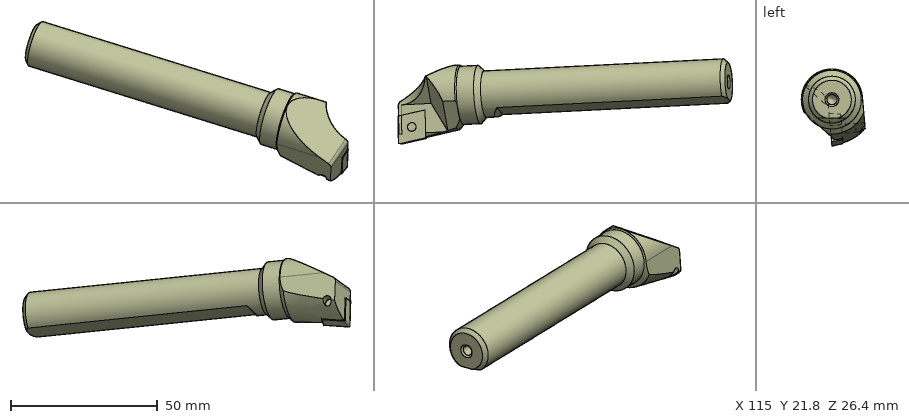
import cadquery as cq
import math

shank_diameter = 16.0
shank_chamfer = 1.4
flat_height = 6.2
flat_end = 81.4
hole_diameter = 3.5
hole_mouth_diameter = 4.7
hole_depth = 10.0
collar_diameter = 20.0
collar_start = 84.8
collar_end = 92.8
head_diameter = 20.9
head_flare_radius = 11.7
head_cone_angle = 10
tool_length = 115
back_tilt = 5
top_slope = 30
top_tilt = 3
top_start = 93.4
end_skew = 8
end_offset = 114.7
end_rounding = 2.0
gullet_radius = 10.4
gullet_center = 113.7
flank_angle = 42
flank_distance = 9.5
flank_runout_start = 97.6
flank_runout_angle = 50
insert_side = 9.7
insert_angle = 80
insert_thickness = 3.9
insert_clearance = 7
insert_nose = 0.5
tip_depth = 16.0
screw_diameter = 3.0
screw_length = 8.6

shank_radius = shank_diameter / 2
collar_radius = collar_diameter / 2
head_radius = head_diameter / 2
collar_full = collar_start + collar_radius - shank_radius
flare_end = collar_end + head_flare_radius - collar_radius
far = 3 * head_diameter

tilt = math.radians(back_tilt)
cutting_face = cq.Plane(
    origin=(tool_length, 0, -tip_depth),
    xDir=(1, 0, 0),
    normal=(0, -math.cos(tilt), math.sin(tilt)),
)


def polar(radius, degrees):
    """Point in the YZ plane at an angle measured from +Y towards +Z."""
    angle = math.radians(degrees)
    return (radius * math.cos(angle), radius * math.sin(angle))


def make_shank():
    """Turned shank with a shoulder and collar, a clamping flat and a centre hole."""
    profile = [
        (0, 0),
        (0, shank_radius - shank_chamfer),
        (shank_chamfer, shank_radius),
        (collar_start, shank_radius),
        (collar_full, collar_radius),
        (collar_end, collar_radius),
        (collar_end, 0),
    ]
    shank = cq.Workplane("XZ").polyline(profile).close().revolve(360, (0, 0, 0), (1, 0, 0))

    flat_drop = shank_radius - flat_height
    flat_cut = (
        cq.Workplane("XZ")
        .polyline([
            (0, -flat_height),
            (flat_end - flat_drop, -flat_height),
            (flat_end, -shank_radius),
            (0, -shank_radius),
        ])
        .close()
        .extrude(shank_radius, both=True)
    )

    mouth = hole_mouth_diameter / 2
    bore = hole_diameter / 2
    hole_profile = [
        (0, 0),
        (0, mouth),
        (mouth - bore, bore),
        (hole_depth, bore),
        (hole_depth + bore, 0),
    ]
    hole = cq.Workplane("XZ").polyline(hole_profile).close().revolve(360, (0, 0, 0), (1, 0, 0))
    return shank.cut(flat_cut).cut(hole)


def head_blank():
    """Flared cone trimmed to the head's cross-section: round top, back flat, underside flat."""
    end_radius = head_flare_radius + (tool_length - flare_end) * math.tan(math.radians(head_cone_angle))
    cone = (
        cq.Workplane("XY")
        .polyline([
            (collar_end, 0),
            (collar_end, collar_radius),
            (flare_end, head_flare_radius),
            (tool_length, end_radius),
            (tool_length, 0),
        ])
        .close()
        .revolve(360, (0, 0, 0), (1, 0, 0))
    )
    half_chord = math.degrees(math.acos(flank_distance / head_radius))
    flank_upper = polar(head_radius, flank_angle - 90 + half_chord)
    flank_lower = (
        flank_upper[0] - far * math.cos(math.radians(flank_angle)),
        flank_upper[1] - far * math.sin(math.radians(flank_angle)),
    )
    back_upper = polar(head_radius, 180 - back_tilt)
    back_lower = (back_upper[0] - far * math.sin(tilt), back_upper[1] - far * math.cos(tilt))
    section = (
        cq.Workplane("YZ", origin=(collar_end, 0, 0))
        .moveTo(*flank_upper)
        .threePointArc(polar(head_radius, 90), back_upper)
        .lineTo(*back_lower)
        .lineTo(*flank_lower)
        .close()
        .extrude(tool_length - collar_end)
    )
    return cone.intersect(section)


def top_cut():
    """Block above the sloping top face."""
    return (
        cq.Workplane("XY")
        .box(2 * far, 2 * far, far, centered=(True, True, False))
        .rotate((0, 0, 0), (1, 0, 0), top_tilt)
        .rotate((0, 0, 0), (0, 1, 0), top_slope)
        .translate((top_start, 0, head_radius))
    )


def end_cut():
    """Block beyond the skewed end face."""
    return (
        cq.Workplane("XY")
        .box(far, 2 * far, 2 * far, centered=(False, True, True))
        .rotate((0, 0, 0), (0, 0, 1), -end_skew)
        .translate((end_offset, 0, 0))
    )


def gullet_cut():
    """Space in front of the cutting face: a round-backed gullet and a sloping run-out."""
    face_space = cq.Workplane(cutting_face).rect(4 * far, 4 * far).extrude(-far)
    gullet_plane = cq.Plane(
        origin=(gullet_center, 0, -tip_depth),
        xDir=(1, 0, 0),
        normal=(0, math.sin(tilt), math.cos(tilt)),
    )
    round_back = (
        cq.Workplane(gullet_plane)
        .center(0, gullet_radius)
        .circle(gullet_radius)
        .extrude(far, both=True)
    )
    slope = math.radians(flank_angle)
    runout_plane = cq.Plane(
        origin=(0, 0, 0),
        xDir=(1, 0, 0),
        normal=(0, math.cos(slope), math.sin(slope)),
    )
    runout_end = gullet_center - gullet_radius
    runout_drop = (runout_end - flank_runout_start) * math.tan(math.radians(flank_runout_angle))
    runout = (
        cq.Workplane(runout_plane)
        .polyline([
            (flank_runout_start, flank_distance),
            (runout_end, flank_distance - runout_drop),
            (gullet_center, flank_distance - runout_drop),
            (gullet_center, far),
            (flank_runout_start, far),
        ])
        .close()
        .extrude(far, both=True)
    )
    return round_back.union(runout).intersect(face_space)


def make_head():
    """Head blank with its sloping top, skewed end, the rounded edge between them, and the gullet."""
    head = head_blank().cut(top_cut()).cut(end_cut())
    edge_height = head_radius - (end_offset - top_start) * math.tan(math.radians(top_slope))
    top_end_edge = cq.selectors.NearestToPointSelector((end_offset, 0, edge_height))
    return head.edges(top_end_edge).fillet(end_rounding).cut(gullet_cut())


def make_insert_blank():
    """Rhombic cutting insert, tapering away from its cutting face."""
    lean = math.radians(insert_angle)
    run = insert_side * math.sin(lean)
    rise = insert_side * math.cos(lean)
    mid_depth = insert_thickness / 2
    cutting_tip = cq.selectors.NearestToPointSelector(cutting_face.toWorldCoords((0, 0, mid_depth)).toTuple())
    return (
        cq.Workplane(cutting_face)
        .polyline([(0, 0), (0, insert_side), (-run, insert_side + rise), (-run, rise)])
        .close()
        .extrude(insert_thickness, taper=insert_clearance)
        .edges(cutting_tip)
        .fillet(insert_nose)
    )


def screw_rod(length):
    """Rod of the screw's diameter through the insert's centre, square to the cutting face."""
    lean = math.radians(insert_angle)
    center_x = -insert_side * math.sin(lean) / 2
    center_y = insert_side * (1 + math.cos(lean)) / 2
    return cq.Workplane(cutting_face).center(center_x, center_y).circle(screw_diameter / 2).extrude(length)


screw = screw_rod(screw_length)
insert_blank = make_insert_blank()
insert = insert_blank.cut(screw)

holder = make_shank().union(make_head()).cut(insert_blank).cut(screw_rod(far))

result = cq.Compound.makeCompound([holder.val(), insert.val(), screw.val()])